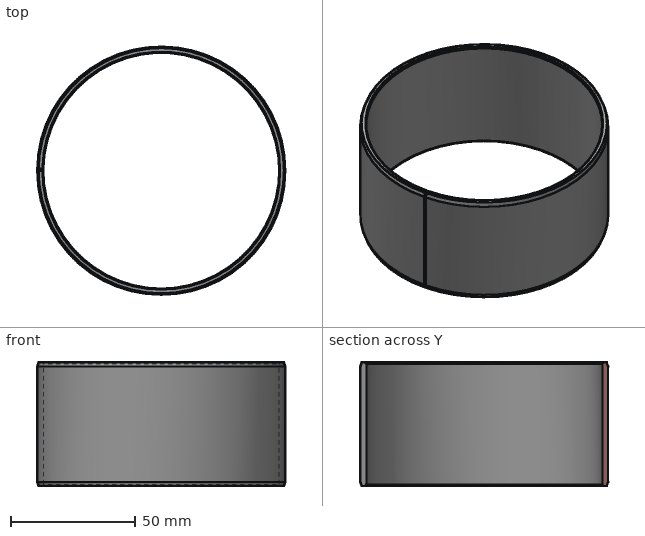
import cadquery as cq

outer_diameter = 100.0
height = 50.0
wall = 2.5
slit_width = 0.8

outer_bevel_radial = 0.6
outer_bevel_axial = 1.8
inner_bevel_radial = 0.4
inner_bevel_axial = 0.7

outer_radius = outer_diameter / 2
inner_radius = outer_radius - wall
half_height = height / 2


def bushing_sleeve():
    """Thin-walled sleeve about Z, revolved from its bevelled wall section."""
    section = [
        (inner_radius, -half_height + inner_bevel_axial),
        (inner_radius + inner_bevel_radial, -half_height),
        (outer_radius - outer_bevel_radial, -half_height),
        (outer_radius, -half_height + outer_bevel_axial),
        (outer_radius, half_height - outer_bevel_axial),
        (outer_radius - outer_bevel_radial, half_height),
        (inner_radius + inner_bevel_radial, half_height),
        (inner_radius, half_height - inner_bevel_axial),
    ]
    return cq.Workplane("XZ").polyline(section).close().revolve(360, (0, 0), (0, 1))


def split_cutter():
    """Full-height slit through the -X wall, with one face on the XZ plane and opening toward +Y."""
    slit = cq.Workplane("XY").box(outer_radius, slit_width, height)
    return slit.translate((-outer_radius, slit_width / 2, 0))


result = bushing_sleeve().cut(split_cutter())